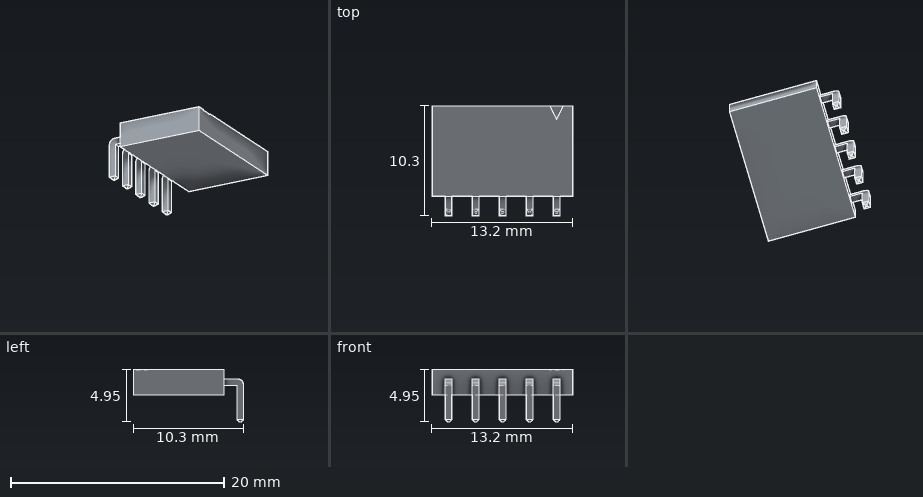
import cadquery as cq

TOTAL_DEPTH = 10.35
TOTAL_HEIGHT = 4.95

HOUSING_WIDTH = 13.21
HOUSING_DEPTH = 8.51
HOUSING_HEIGHT = 2.4
MARK_WIDTH = 1.27
MARK_LENGTH = 1.27
MARK_RECESS = 0.07

PIN_COUNT = 5
PIN_PITCH = 2.54
PIN_THICKNESS = 0.65
BEND_RADIUS = 0.58
TIP_CHAMFER = 0.25

PIN_REACH = TOTAL_DEPTH - HOUSING_DEPTH
PIN_TOP = (HOUSING_HEIGHT + PIN_THICKNESS) / 2
PIN_UNDERSIDE = PIN_TOP - PIN_THICKNESS
PIN_INNER_FACE = PIN_THICKNESS - PIN_REACH
PIN_BOTTOM = HOUSING_HEIGHT - TOTAL_HEIGHT
PIN_POSITIONS = [(i - (PIN_COUNT - 1) / 2) * PIN_PITCH for i in range(PIN_COUNT)]

MARK_CENTER = PIN_POSITIONS[-1]


def make_housing():
    """Block with a shallow triangular recess pointing forward from the rear top edge."""
    block = cq.Workplane("XY").box(
        HOUSING_WIDTH, HOUSING_DEPTH, HOUSING_HEIGHT, centered=(True, False, False)
    )
    mark = (
        cq.Workplane("XY", origin=(MARK_CENTER, HOUSING_DEPTH, HOUSING_HEIGHT))
        .moveTo(-MARK_WIDTH / 2, 0)
        .lineTo(MARK_WIDTH / 2, 0)
        .lineTo(0, -MARK_LENGTH)
        .close()
        .extrude(-MARK_RECESS)
    )
    return block.cut(mark)


def make_pin(x_center):
    """L-shaped pin that starts at the housing front face and ends in a chamfered tip."""
    pin = (
        cq.Workplane("YZ", origin=(x_center, 0, 0))
        .moveTo(0, PIN_TOP)
        .lineTo(-PIN_REACH, PIN_TOP)
        .lineTo(-PIN_REACH, PIN_BOTTOM)
        .lineTo(PIN_INNER_FACE, PIN_BOTTOM)
        .lineTo(PIN_INNER_FACE, PIN_UNDERSIDE)
        .lineTo(0, PIN_UNDERSIDE)
        .close()
        .extrude(PIN_THICKNESS / 2, both=True)
    )
    pin = pin.faces(">Z").edges("<Y").fillet(BEND_RADIUS)
    return pin.faces("<Z").chamfer(TIP_CHAMFER)


housing = make_housing()
pins = [make_pin(x) for x in PIN_POSITIONS]

result = cq.Compound.makeCompound([housing.val(), *[pin.val() for pin in pins]])